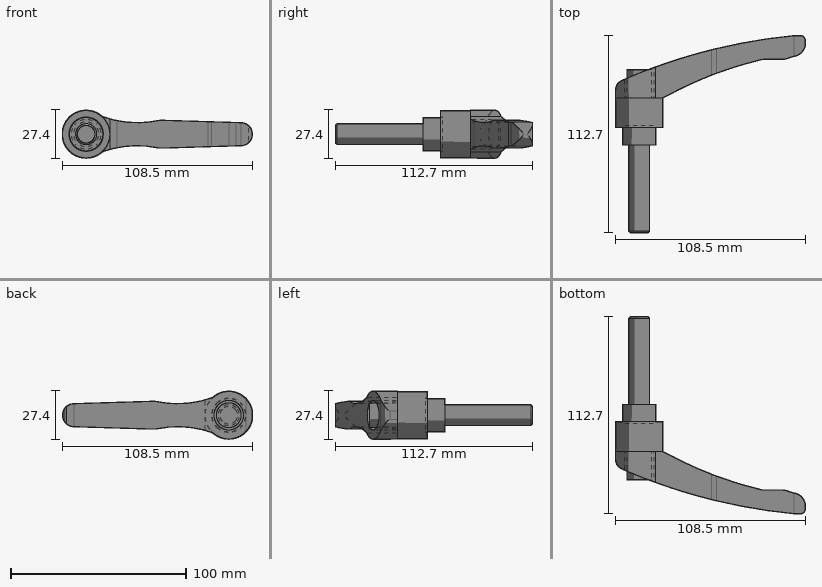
import cadquery as cq
import math

HUB_RADIUS = 13.5
HUB_LENGTH = 17.0
COLLAR_DIAMETER = 19.0
COLLAR_END = -26.9
COLLAR_BORE_DIAMETER = 19.6
COLLAR_BORE_DEPTH = 1.1
STUD_DIAMETER = 12.0
STUD_CHAMFER = 1.0
OVERALL_LENGTH = 112.7
LEVER_TOP = 35.6
STUD_END = LEVER_TOP - OVERALL_LENGTH

SCREW_DIAMETER = 14.2
SCREW_TOP = 16.2
SCREW_BORE_DIAMETER = 16.9

HEAD_RADIUS = 13.7
LEVER_TIP = 95.0
HEAD_SHOULDER = (-HUB_RADIUS, 8.3)
HEAD_SHOULDER_FILLET = 6.0
ARCH_MIDDLE = (39.4, 27.0)
TIP_START = 88.3
TIP_FLAT_END = 92.7
TIP_CORNER_MIDDLE = (94.2, 34.7)
TIP_CORNER_END = (LEVER_TIP, 32.7)
TIP_BELLY_MIDDLE = (93.3, 26.5)
TIP_BELLY_END = (TIP_START, 23.7)
GRIP_FLAT_Y = 22.0
GRIP_FLAT_START = 70.5
GRIP_FLAT_END = 81.7
GRIP_CURVE_MIDDLE = (83.7, 22.2)
GRIP_CURVE_END = (85.6, 22.9)
GRIP_BLEND_RADIUS = 9.0
UNDERSIDE_START = (17.6, 2.0)
UNDERSIDE_MIDDLE = (44.0, 14.0)

NECK_X = 9.3
NECK_HALF_WIDTH = math.sqrt(HEAD_RADIUS**2 - NECK_X**2)
WAIST = (27.0, 6.6)
BULGE_START = (41.2, 7.9)
BULGE_MIDDLE = (42.6, 8.0)
BULGE_END = (44.0, 8.0)
TIP_RADIUS = LEVER_TIP - TIP_START


def cylinder_y(diameter, start, end):
    """Cylinder on the Y axis from y = start down to y = end."""
    return cq.Workplane("XZ", origin=(0, start, 0)).circle(diameter / 2).extrude(start - end)


def mirrored(point):
    return (point[0], -point[1])


def lever_side_prism():
    outline = (
        cq.Workplane("XY")
        .moveTo(-HUB_RADIUS, 0)
        .lineTo(*HEAD_SHOULDER)
        .threePointArc(ARCH_MIDDLE, (TIP_START, LEVER_TOP))
        .lineTo(TIP_FLAT_END, LEVER_TOP)
        .threePointArc(TIP_CORNER_MIDDLE, TIP_CORNER_END)
        .threePointArc(TIP_BELLY_MIDDLE, TIP_BELLY_END)
        .lineTo(*GRIP_CURVE_END)
        .threePointArc(GRIP_CURVE_MIDDLE, (GRIP_FLAT_END, GRIP_FLAT_Y))
        .lineTo(GRIP_FLAT_START, GRIP_FLAT_Y)
        .threePointArc(UNDERSIDE_MIDDLE, UNDERSIDE_START)
        .lineTo(HUB_RADIUS, 0)
        .close()
    )
    prism = outline.extrude(HEAD_RADIUS + 1.1, both=True)
    shoulder_edge = cq.NearestToPointSelector((*HEAD_SHOULDER, 0))
    prism = prism.edges("|Z").edges(shoulder_edge).fillet(HEAD_SHOULDER_FILLET)
    grip_edge = cq.NearestToPointSelector((GRIP_FLAT_START, GRIP_FLAT_Y, 0))
    return prism.edges("|Z").edges(grip_edge).fillet(GRIP_BLEND_RADIUS)


def lever_plan_prism():
    arm = (
        cq.Workplane("XZ")
        .moveTo(NECK_X, -NECK_HALF_WIDTH)
        .lineTo(NECK_X, NECK_HALF_WIDTH)
        .threePointArc(WAIST, BULGE_START)
        .threePointArc(BULGE_MIDDLE, BULGE_END)
        .lineTo(TIP_START, TIP_RADIUS)
        .threePointArc((LEVER_TIP, 0), (TIP_START, -TIP_RADIUS))
        .lineTo(*mirrored(BULGE_END))
        .threePointArc(mirrored(BULGE_MIDDLE), mirrored(BULGE_START))
        .threePointArc(mirrored(WAIST), (NECK_X, -NECK_HALF_WIDTH))
        .close()
        .extrude(-LEVER_TOP)
    )
    return arm.union(cylinder_y(2 * HEAD_RADIUS, LEVER_TOP, 0))


lever = lever_side_prism().intersect(lever_plan_prism())
lever = lever.cut(cylinder_y(SCREW_BORE_DIAMETER, LEVER_TOP, 0))

hub = cylinder_y(2 * HUB_RADIUS, 0, -HUB_LENGTH)
hub = hub.cut(cylinder_y(COLLAR_BORE_DIAMETER, COLLAR_BORE_DEPTH - HUB_LENGTH, -HUB_LENGTH))

screw = cylinder_y(SCREW_DIAMETER, SCREW_TOP, -HUB_LENGTH)
collar = cylinder_y(COLLAR_DIAMETER, -HUB_LENGTH + COLLAR_BORE_DEPTH, COLLAR_END)
stud = cylinder_y(STUD_DIAMETER, COLLAR_END, STUD_END).faces("<Y").chamfer(STUD_CHAMFER)

result = hub.union(lever).union(screw).union(collar).union(stud)